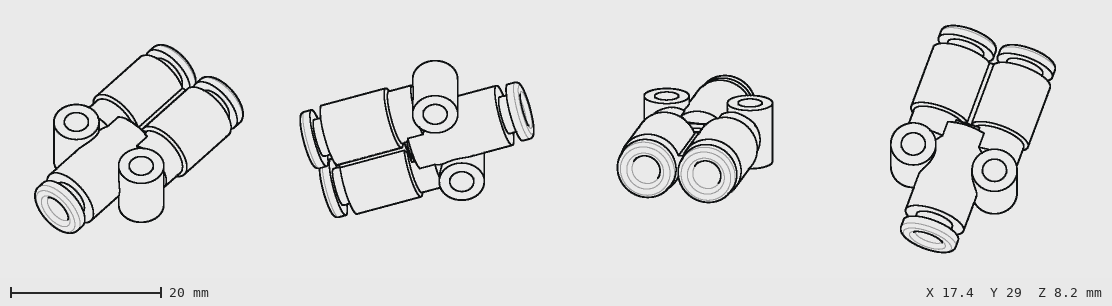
import cadquery as cq
import math

length = 29.0
width = 17.4
height = 8.2
body_radius = height / 2
branch_offset = 4.15

collar_radius = 3.9
collar_thickness = 1.5
neck_radius = 2.52
neck_end = 3.0
collar_fillet = 0.5
bore_radius = 1.95
mouth_rounding = neck_radius - bore_radius

stem_shoulder = 15.63
stem_tip = 16.62
stem_tip_radius = 1.57

cone_slope = math.tan(math.radians(30))
root_radius = 3.6
branch_shoulder = 11.92
root_end = 15.5
branch_tip_radius = 2.32

web_thickness = 2.87
crotch_thickness = 5.2
crotch_end = 16.45

boss_diameter = 6.0
boss_radius = boss_diameter / 2
boss_hole_radius = 1.6
boss_offset = width / 2 - boss_radius
boss_y = 10.8

channel_radius = 1.28
channel_y = 14.5


def revolve_profile(points):
    """Solid of revolution about the Y axis from (radius, distance) points that start and end on it."""
    return cq.Workplane("XY").polyline(points).close().revolve(360, (0, 0, 0), (0, 1, 0))


def place_branches(shape):
    """Turn a port that opens at Y = 0 to face +Y and copy it onto both branch axes."""
    turned = shape.rotate((0, 0, 0), (0, 0, 1), 180).translate((0, length, 0))
    left = turned.translate((-branch_offset, 0, 0))
    right = turned.translate((branch_offset, 0, 0))
    return left.union(right)


def make_collar():
    """Collar with a rounded front rim, and the neck that carries it."""
    collar = revolve_profile([
        (0, 0),
        (collar_radius, 0),
        (collar_radius, collar_thickness),
        (0, collar_thickness),
    ])
    collar = collar.faces("<Y").edges().fillet(collar_fillet)
    neck = revolve_profile([
        (0, collar_thickness),
        (neck_radius, collar_thickness),
        (neck_radius, neck_end),
        (0, neck_end),
    ])
    return collar.union(neck)


def make_bore(depth):
    """Flat-bottomed bore whose mouth flares out with a round edge."""
    profile = (
        cq.Workplane("XY")
        .lineTo(neck_radius, 0)
        .radiusArc((bore_radius, mouth_rounding), mouth_rounding)
        .lineTo(bore_radius, depth)
        .lineTo(0, depth)
        .close()
    )
    return profile.revolve(360, (0, 0, 0), (0, 1, 0))


def make_stem():
    return revolve_profile([
        (0, neck_end),
        (body_radius, neck_end),
        (body_radius, stem_shoulder),
        (stem_tip_radius, stem_tip),
        (0, stem_tip),
    ])


def make_branch():
    shoulder_end = branch_shoulder + (body_radius - root_radius) * cone_slope
    tip_end = root_end + (root_radius - branch_tip_radius) * cone_slope
    return revolve_profile([
        (0, neck_end),
        (body_radius, neck_end),
        (body_radius, branch_shoulder),
        (root_radius, shoulder_end),
        (root_radius, root_end),
        (branch_tip_radius, tip_end),
        (0, tip_end),
    ])


def make_web(thickness, end):
    """Flat slab between the branch axes, from the linking channel to the given Y."""
    web = cq.Workplane("XY").box(2 * branch_offset, end - channel_y, thickness, centered=(True, False, True))
    return web.translate((0, channel_y, 0))


def boss_cylinders(radius):
    """Pair of cylinders along Z at the boss positions, as tall as the body."""
    return (
        cq.Workplane("XY", origin=(0, 0, -height / 2))
        .pushPoints([(-boss_offset, boss_y), (boss_offset, boss_y)])
        .circle(radius)
        .extrude(height)
    )


collar = make_collar()
body = make_stem().union(collar)
body = body.union(place_branches(make_branch().union(collar)))
body = body.union(make_web(web_thickness, length - neck_end))
body = body.union(make_web(crotch_thickness, crotch_end))
body = body.union(boss_cylinders(boss_radius))

channel = (
    cq.Workplane("YZ", origin=(-branch_offset, channel_y, 0))
    .circle(channel_radius)
    .extrude(2 * branch_offset)
)
body = body.cut(make_bore(channel_y))
body = body.cut(place_branches(make_bore(length - channel_y)))
body = body.cut(channel)
result = body.cut(boss_cylinders(boss_hole_radius))